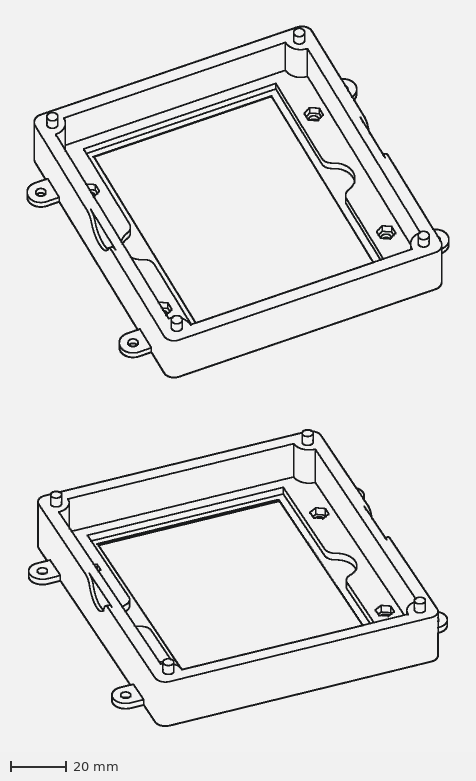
import cadquery as cq
import math

body_x = 120.0
body_y = 110.0
body_height = 20.0
body_corner_radius = 4.0

cavity_x = 110.0
wall_thickness = (body_x - cavity_x) / 2
cavity_y = body_y - 2 * wall_thickness
floor_thickness = 5.0
recess_x = 101.3
recess_y = 76.3
lip_thickness = 2.0

window_x = 96.5
window_y = 70.5
window_flare = 1.3

post_radius = 6.0
pin_diameter = 4.0
pin_height = 4.0
pin_inset = 6.0

overall_y = 130.0
tab_width = 10.0
tab_thickness = 2.5
tab_offset_x = 40.0
screw_hole_diameter = 3.6

nut_offset_x = 31.5
nut_offset_y = 44.5
nut_across_corners = 6.9
nut_pocket_depth = floor_thickness - lip_thickness

notch_radius = 7.5
notch_flare_radius = 4.0
wall_notch_depth = 1.4


def mirrored_points(x, y):
    """The four points at (+-x, +-y)."""
    return [(side_x * x, side_y * y) for side_x in (-1, 1) for side_y in (-1, 1)]


def box_between(size_x, size_y, bottom, top):
    """A box centred on the Z axis between two heights."""
    return cq.Workplane("XY", origin=(0, 0, bottom)).rect(size_x, size_y).extrude(top - bottom)


def cylinders_between(points, diameter, bottom, top):
    """Upright cylinders at the given points between two heights."""
    base = cq.Workplane("XY", origin=(0, 0, bottom)).pushPoints(points)
    return base.circle(diameter / 2).extrude(top - bottom)


def notch_outline(plane):
    """Finger notch centred on the local origin, opening at y = 0 and reaching down along -y."""
    centre_distance = notch_radius + notch_flare_radius
    half_width = math.sqrt(centre_distance**2 - notch_flare_radius**2)
    flare_sweep = math.asin(half_width / centre_distance)

    def flare_point(angle):
        x = half_width - notch_flare_radius * math.sin(angle)
        return x, -notch_flare_radius * (1 - math.cos(angle))

    join_x, join_y = flare_point(flare_sweep)
    middle_x, middle_y = flare_point(flare_sweep / 2)
    return (
        plane.moveTo(-half_width, 0)
        .threePointArc((-middle_x, middle_y), (-join_x, join_y))
        .threePointArc((0, -notch_radius), (join_x, join_y))
        .threePointArc((middle_x, middle_y), (half_width, 0))
        .close()
    )


def make_window():
    """Tapered cutter for the window."""
    return (
        cq.Workplane("XY")
        .rect(window_x + 2 * window_flare, window_y + 2 * window_flare)
        .workplane(offset=lip_thickness)
        .rect(window_x, window_y)
        .loft(ruled=True)
    )


def make_frame():
    """Rounded block, hollowed by the cavity around its corner posts, the recess and the window."""
    block = box_between(body_x, body_y, 0, body_height).edges("|Z").fillet(body_corner_radius)
    post_points = mirrored_points(cavity_x / 2, cavity_y / 2)
    posts = cylinders_between(post_points, 2 * post_radius, floor_thickness, body_height)
    cavity = box_between(cavity_x, cavity_y, floor_thickness, body_height).cut(posts)
    recess = box_between(recess_x, recess_y, lip_thickness, floor_thickness)
    return block.cut(cavity).cut(recess).cut(make_window())


def make_pins():
    """Locating pins on the corner posts, rooted in the posts down to the floor."""
    points = mirrored_points(body_x / 2 - pin_inset, body_y / 2 - pin_inset)
    return cylinders_between(points, pin_diameter, floor_thickness, body_height + pin_height)


def make_tabs():
    """Round-ended mounting tabs; each pair is one long bar, cleared where the frame is hollow."""
    end_y = (overall_y - tab_width) / 2
    ends = mirrored_points(tab_offset_x, end_y)
    bars = (
        cq.Workplane("XY")
        .pushPoints([(-tab_offset_x, 0), (tab_offset_x, 0)])
        .slot2D(overall_y, tab_width, 90)
        .extrude(tab_thickness)
    )
    holes = cylinders_between(ends, screw_hole_diameter, 0, tab_thickness)
    inside = box_between(cavity_x, cavity_y, 0, tab_thickness)
    return bars.cut(holes).cut(inside)


def make_nut_seats():
    """Cutters for the nut pockets and the screw holes below them."""
    points = mirrored_points(nut_offset_x, nut_offset_y)
    holes = cylinders_between(points, screw_hole_diameter, 0, floor_thickness)
    pockets = (
        cq.Workplane("XY", origin=(0, 0, floor_thickness - nut_pocket_depth))
        .pushPoints(points)
        .polygon(6, nut_across_corners)
        .extrude(nut_pocket_depth)
    )
    return holes.union(pockets)


def make_finger_notches():
    """Cutters for the notches in the recess edges and in the outer faces of the walls."""
    recess_plane = cq.Workplane("XY", origin=(0, -recess_y / 2, lip_thickness))
    recess_notch = notch_outline(recess_plane).extrude(floor_thickness - lip_thickness)
    wall_plane = cq.Workplane("XZ", origin=(0, -body_y / 2, body_height))
    wall_notch = notch_outline(wall_plane).extrude(-wall_notch_depth)
    front = recess_notch.union(wall_notch)
    return front.union(front.mirror("XZ"))


result = (
    make_frame()
    .union(make_pins())
    .union(make_tabs())
    .cut(make_nut_seats())
    .cut(make_finger_notches())
)